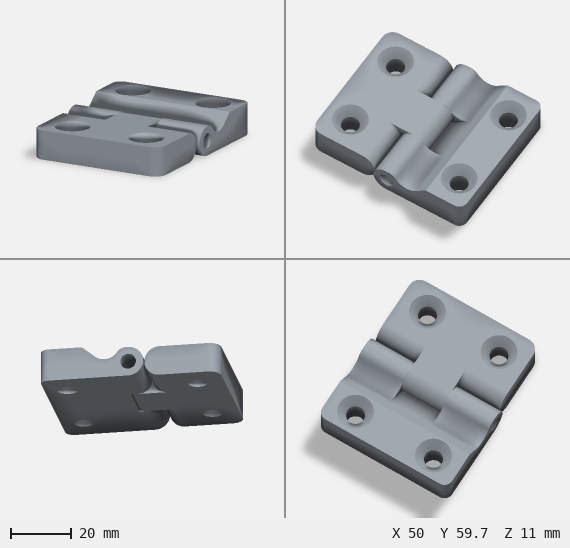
import cadquery as cq
import math


LEAF_HEIGHT = 10.0
BARREL_RADIUS = LEAF_HEIGHT / 2
AXIS_Z = BARREL_RADIUS
PIN_HOLE_DIAMETER = 5.2
KNUCKLE_WIDTH = 15.7
SCREW_HOLE_DIAMETER = 6.2
COUNTERSINK_DIAMETER = 12.05
COUNTERSINK_ANGLE = 90

KNUCKLE_LEAF_WIDTH = 47.75
KNUCKLE_LEAF_REACH = 30.15
KNUCKLE_LEAF_CORNER = 4.0
KNUCKLE_LEAF_HOLE_Y = -21.15
KNUCKLE_LEAF_HOLE_SPACING = 27.6
LEAF_GAP = 0.2

FORK_LEAF_WIDTH = 50.0
FORK_LEAF_HEIGHT = 11.0
FORK_LEAF_REACH = 59.7 - KNUCKLE_LEAF_REACH
FORK_LEAF_CORNER = 3.0
FORK_LEAF_HOLE_Y = 22.0
FORK_LEAF_HOLE_SPACING = 30.0
SLOPE_START_Y = 15.4
SLOPE_ANGLE = math.radians(39.5)
VALLEY_RADIUS = 5.0
VALLEY_Y = 7.9
CREST_FLAT = 0.9


def extrude_across(profile, width):
    """Extrude a closed YZ profile along X, centred on x = 0."""
    return profile.extrude(width / 2, both=True)


def drill_pin_hole(leaf):
    pin_hole = extrude_across(
        cq.Workplane("YZ").center(0, AXIS_Z).circle(PIN_HOLE_DIAMETER / 2), FORK_LEAF_WIDTH
    )
    return leaf.cut(pin_hole)


def drill_screw_holes(leaf, top_z, hole_y, spacing):
    return (
        leaf.faces(">Z")
        .workplane(origin=(0, 0, top_z))
        .pushPoints([(-spacing / 2, hole_y), (spacing / 2, hole_y)])
        .cskHole(SCREW_HOLE_DIAMETER, COUNTERSINK_DIAMETER, COUNTERSINK_ANGLE)
    )


def round_ended_bar(outer_y, end_center_y, width):
    """Bar of leaf height from outer_y to a full round end on the +Y side."""
    profile = (
        cq.Workplane("YZ")
        .moveTo(outer_y, 0)
        .lineTo(end_center_y, 0)
        .threePointArc((end_center_y + BARREL_RADIUS, AXIS_Z), (end_center_y, LEAF_HEIGHT))
        .lineTo(outer_y, LEAF_HEIGHT)
        .close()
    )
    return extrude_across(profile, width)


def make_knuckle_leaf():
    plate_end_y = -(2 * BARREL_RADIUS + LEAF_GAP)
    plate = round_ended_bar(-KNUCKLE_LEAF_REACH, plate_end_y, KNUCKLE_LEAF_WIDTH)
    plate = plate.edges("|Z and <Y").fillet(KNUCKLE_LEAF_CORNER)
    knuckle = round_ended_bar(plate_end_y, 0, KNUCKLE_WIDTH)
    leaf = drill_pin_hole(plate.union(knuckle))
    return drill_screw_holes(leaf, LEAF_HEIGHT, KNUCKLE_LEAF_HOLE_Y, KNUCKLE_LEAF_HOLE_SPACING)


def fork_profile():
    """Side outline: barrel, crest, valley arc, slope and thick plate, tangent where they meet."""
    slope_end_y = VALLEY_Y + VALLEY_RADIUS * math.sin(SLOPE_ANGLE)
    slope_end_z = FORK_LEAF_HEIGHT - (SLOPE_START_Y - slope_end_y) * math.tan(SLOPE_ANGLE)
    valley_center_z = slope_end_z + VALLEY_RADIUS * math.cos(SLOPE_ANGLE)

    run = VALLEY_Y - CREST_FLAT
    rise = valley_center_z - LEAF_HEIGHT
    crest_radius = (run**2 + rise**2 - VALLEY_RADIUS**2) / (2 * (VALLEY_RADIUS - rise))
    crest_center_z = LEAF_HEIGHT - crest_radius
    crest_angle = math.atan2(valley_center_z - crest_center_z, run)

    def crest_point(angle):
        return (
            CREST_FLAT + crest_radius * math.cos(angle),
            crest_center_z + crest_radius * math.sin(angle),
        )

    return (
        cq.Workplane("YZ")
        .moveTo(FORK_LEAF_REACH, 0)
        .lineTo(0, 0)
        .threePointArc((-BARREL_RADIUS, AXIS_Z), (0, LEAF_HEIGHT))
        .lineTo(CREST_FLAT, LEAF_HEIGHT)
        .threePointArc(crest_point((crest_angle + math.pi / 2) / 2), crest_point(crest_angle))
        .threePointArc((VALLEY_Y, valley_center_z - VALLEY_RADIUS), (slope_end_y, slope_end_z))
        .lineTo(SLOPE_START_Y, FORK_LEAF_HEIGHT)
        .lineTo(FORK_LEAF_REACH, FORK_LEAF_HEIGHT)
        .close()
    )


def knuckle_slot():
    """Opening for the middle knuckle; its back wall continues the sloping face to the bottom."""
    slope_foot_y = SLOPE_START_Y - FORK_LEAF_HEIGHT / math.tan(SLOPE_ANGLE)
    profile = (
        cq.Workplane("YZ")
        .moveTo(-BARREL_RADIUS, 0)
        .lineTo(slope_foot_y, 0)
        .lineTo(SLOPE_START_Y, FORK_LEAF_HEIGHT)
        .lineTo(-BARREL_RADIUS, FORK_LEAF_HEIGHT)
        .close()
    )
    return extrude_across(profile, KNUCKLE_WIDTH)


def make_fork_leaf():
    leaf = extrude_across(fork_profile(), FORK_LEAF_WIDTH)
    leaf = leaf.edges("|Z and >Y").fillet(FORK_LEAF_CORNER)
    leaf = drill_pin_hole(leaf.cut(knuckle_slot()))
    return drill_screw_holes(leaf, FORK_LEAF_HEIGHT, FORK_LEAF_HOLE_Y, FORK_LEAF_HOLE_SPACING)


knuckle_leaf = make_knuckle_leaf()
fork_leaf = make_fork_leaf()

result = cq.Compound.makeCompound([knuckle_leaf.solids().val(), fork_leaf.solids().val()])